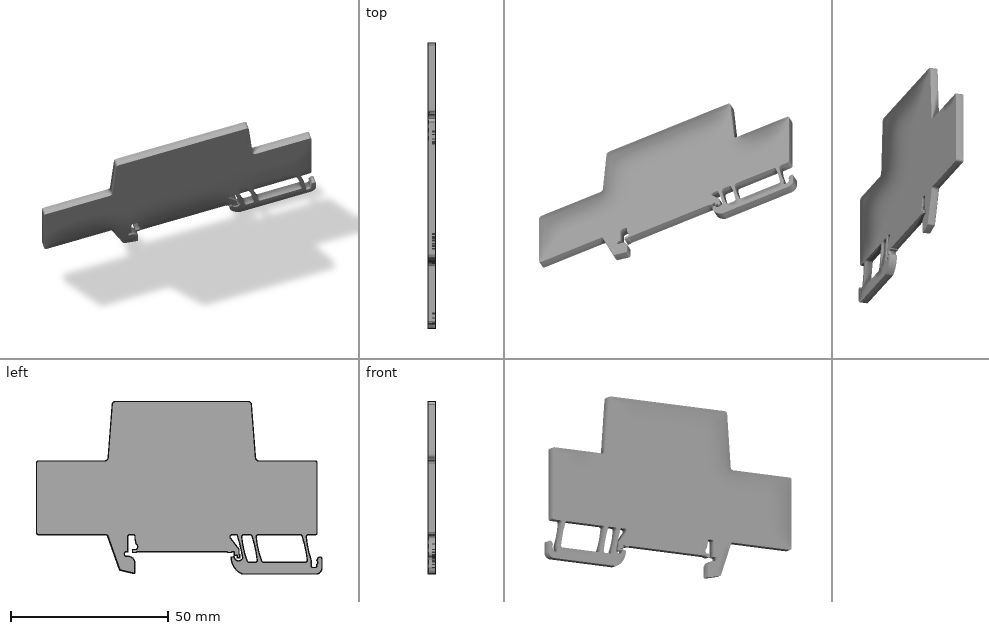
import cadquery as cq

THICKNESS = 2.5
LENGTH = 90.68
HEIGHT = 54.85

PLATE_LENGTH = 89.15
PLATE_BOTTOM = 12.5
PLATE_TOP = 36.0
HOOD_BASE_START = 22.65
HOOD_BASE_END = 69.65
HOOD_INSET = 1.45
PLATE_RADIUS = 0.7
HOOD_RADIUS = 1.0

SEAT_Z = 7.1
PAD_Z = SEAT_Z - 0.27
PAD_LENGTH = 1.2
PAD_RAMP = 0.25
LATCH_ROOT = 22.4
SLOT_START = 29.05
SLOT_END = 31.28
SLOT_RADIUS = 0.5
LATCH_ROOT_RADIUS = 0.6
LATCH_TOE_RADIUS = 0.4
LATCH_BEVEL = 0.18

TOOTH_START = 62.75
TOOTH_STEP = 63.75
TOOTH_BACK = 64.35
TOOTH_TIP_END = TOOTH_BACK + 0.25
TOOTH_LEDGE_Z = 5.95
TOOTH_TIP_Z = 5.2
TOOTH_BARB_Z = 6.3

FOOT_START = 61.77
HOOK_TOP = 5.5
FOOT_FLOOR = 3.8
FOOT_RADIUS = 2.0
STRIP_STARTS = (63.7, 68.3, 84.2)
STRIP_TOP_WIDTH = 1.45
STRIP_FRONT_MID = (1.2, 8.0)
STRIP_FRONT_DRIFT = 1.85
STRIP_BACK_MID = (1.97, 8.6)
STRIP_BACK_DRIFT = 3.37
WINDOW_RADIUS = 0.6

END_SLOT_START = 87.27
END_SLOT_TOP = 4.4
END_SLOT_FLOOR = 2.2
LIP_START = 88.95
LIP_RECESS = 0.3
LIP_RECESS_BOTTOM = 3.0
SLOT_FLOOR_RADIUS = 0.3

PROFILE_PLANE = cq.Plane(origin=(0, LENGTH / 2, 0), xDir=(0, -1, 0), normal=(-1, 0, 0))


def start_profile(along, z):
    """Begin an outline in the (along, z) plane at mid thickness."""
    return cq.Workplane(PROFILE_PLANE).moveTo(along, z)


def extrude_profile(profile):
    """Close an outline and extrude it over the full thickness."""
    return profile.close().extrude(THICKNESS / 2, both=True)


def edges_at(solid, x, along, z):
    """Edges whose centre lies at the given position."""
    reach = 0.15
    y = LENGTH / 2 - along
    low_corner = (x - reach, y - reach, z - reach)
    high_corner = (x + reach, y + reach, z + reach)
    return solid.edges(cq.selectors.BoxSelector(low_corner, high_corner))


def round_corners(solid, corners, radius):
    """Fillet the thickness-direction edges at the given (along, z) corners."""
    for along, z in corners:
        solid = edges_at(solid, 0, along, z).fillet(radius)
    return solid


def make_plate():
    """Rectangular plate with a tapered hood on top."""
    hood_top_start = HOOD_BASE_START + HOOD_INSET
    hood_top_end = HOOD_BASE_END - HOOD_INSET
    hood_corners = [
        (HOOD_BASE_START, PLATE_TOP),
        (hood_top_start, HEIGHT),
        (hood_top_end, HEIGHT),
        (HOOD_BASE_END, PLATE_TOP),
    ]
    end_corners = [
        (PLATE_LENGTH, PLATE_TOP),
        (PLATE_LENGTH, PLATE_BOTTOM),
        (0, PLATE_BOTTOM),
        (0, PLATE_TOP),
    ]
    plate = extrude_profile(cq.Workplane(PROFILE_PLANE).polyline(hood_corners + end_corners))
    plate = round_corners(plate, hood_corners, HOOD_RADIUS)
    return round_corners(plate, end_corners, PLATE_RADIUS)


def make_latch():
    """Slanted latch leg that hooks under one rail edge."""
    toe = (26.4, 1.25)
    heel = (SLOT_END, 0.1)
    catch_front = (SLOT_END, 4.0)
    catch_crown = (30.3, 5.3)
    catch_back = (28.2, 5.7)
    relief_middle = (27.95, 6.4)
    relief_top = (28.15, SEAT_Z)
    latch = extrude_profile(
        start_profile(LATCH_ROOT, PLATE_BOTTOM)
        .lineTo(*toe)
        .lineTo(*heel)
        .lineTo(*catch_front)
        .threePointArc(catch_crown, catch_back)
        .threePointArc(relief_middle, relief_top)
        .lineTo(SLOT_START, SEAT_Z)
        .lineTo(SLOT_START, PLATE_BOTTOM)
    )
    outer_edge_middle = ((LATCH_ROOT + toe[0]) / 2, (PLATE_BOTTOM + toe[1]) / 2)
    latch = round_corners(latch, [toe], LATCH_TOE_RADIUS)
    latch = edges_at(latch, -THICKNESS / 2, *outer_edge_middle).chamfer(LATCH_BEVEL)
    return round_corners(latch, [heel], LATCH_TOE_RADIUS)


def make_rail_seat():
    """Block resting on the rail, with a nib on the latch side and a tooth on the foot side."""
    nib_tip = 30.45
    nib_top = 7.87
    nib_pad_end = nib_tip + PAD_LENGTH
    pad_end = 61.95
    pad_start = pad_end - PAD_LENGTH
    slot_taper_start = (SLOT_END, 11.1)
    nib_groove_top = (31.6, 9.6)
    nib_groove_middle = (32.1, 8.6)
    nib_groove_bottom = (31.7, nib_top)
    ramp_bottom = (TOOTH_BACK, 7.9)
    ramp_top = (61.55, 11.55)
    gap_corner_middle = (61.6, 12.2)
    gap_corner_end = (62.0, PLATE_BOTTOM)
    return extrude_profile(
        start_profile(SLOT_END, PLATE_BOTTOM)
        .lineTo(*slot_taper_start)
        .lineTo(*nib_groove_top)
        .threePointArc(nib_groove_middle, nib_groove_bottom)
        .lineTo(nib_tip, nib_top)
        .lineTo(nib_tip, PAD_Z)
        .lineTo(nib_pad_end, PAD_Z)
        .lineTo(nib_pad_end + PAD_RAMP, SEAT_Z)
        .lineTo(pad_start - PAD_RAMP, SEAT_Z)
        .lineTo(pad_start, PAD_Z)
        .lineTo(pad_end, PAD_Z)
        .lineTo(pad_end, SEAT_Z)
        .lineTo(TOOTH_START, SEAT_Z)
        .lineTo(TOOTH_START, TOOTH_LEDGE_Z)
        .lineTo(TOOTH_STEP, TOOTH_LEDGE_Z)
        .lineTo(TOOTH_STEP, TOOTH_TIP_Z)
        .lineTo(TOOTH_TIP_END, TOOTH_TIP_Z)
        .lineTo(TOOTH_TIP_END, TOOTH_BARB_Z)
        .lineTo(TOOTH_BACK, TOOTH_BARB_Z)
        .lineTo(*ramp_bottom)
        .lineTo(*ramp_top)
        .threePointArc(gap_corner_middle, gap_corner_end)
    )


def make_foot_blank():
    """Foot and strips as one block, bounded by the first strip and the hook cavity."""
    strip = STRIP_STARTS[0]
    mid_shift, mid_z = STRIP_FRONT_MID
    hook_shoulder = (62.55, HOOK_TOP)
    hook_tip = (62.8, 5.8)
    cavity_floor = (64.1, 4.25)
    cavity_end = (strip + 1.75, 5.2)
    heel_middle = (62.75, 2.2)
    heel_end = (65.4, 0)
    foot = extrude_profile(
        start_profile(FOOT_START, HOOK_TOP)
        .lineTo(*hook_shoulder)
        .lineTo(*hook_tip)
        .threePointArc(cavity_floor, cavity_end)
        .threePointArc((strip + mid_shift, mid_z), (strip, PLATE_BOTTOM))
        .lineTo(LENGTH, PLATE_BOTTOM)
        .lineTo(LENGTH, 0)
        .lineTo(*heel_end)
        .threePointArc(heel_middle, (FOOT_START, HOOK_TOP))
    )
    return round_corners(foot, [(LENGTH, 0)], FOOT_RADIUS)


def make_window(strip_before, strip_after):
    """Opening between two neighbouring strips."""
    back_shift, back_z = STRIP_BACK_MID
    front_shift, front_z = STRIP_FRONT_MID
    window = extrude_profile(
        start_profile(strip_before + STRIP_TOP_WIDTH, PLATE_BOTTOM)
        .threePointArc((strip_before + back_shift, back_z), (strip_before + STRIP_BACK_DRIFT, FOOT_FLOOR))
        .lineTo(strip_after + STRIP_FRONT_DRIFT, FOOT_FLOOR)
        .threePointArc((strip_after + front_shift, front_z), (strip_after, PLATE_BOTTOM))
    )
    return window.edges("|X").fillet(WINDOW_RADIUS)


def make_end_notch():
    """Space behind the last strip, above the end slot and the lip."""
    strip = STRIP_STARTS[-1]
    back_shift, back_z = STRIP_BACK_MID
    recess_mid_z = (LIP_RECESS_BOTTOM + END_SLOT_TOP) / 2
    lip_wall = LIP_START + LIP_RECESS
    lip_radius = (LENGTH - lip_wall) / 2
    lip_shoulder = HOOK_TOP - lip_radius
    notch_top = (strip + STRIP_TOP_WIDTH, PLATE_BOTTOM)
    floor_corners = [(END_SLOT_START, END_SLOT_FLOOR), (LIP_START, END_SLOT_FLOOR)]
    notch = extrude_profile(
        start_profile(*notch_top)
        .threePointArc((strip + back_shift, back_z), (END_SLOT_START, END_SLOT_TOP))
        .lineTo(*floor_corners[0])
        .lineTo(*floor_corners[1])
        .lineTo(LIP_START, LIP_RECESS_BOTTOM)
        .threePointArc((lip_wall, recess_mid_z), (LIP_START, END_SLOT_TOP))
        .lineTo(lip_wall, lip_shoulder)
        .threePointArc((LENGTH - lip_radius, HOOK_TOP), (LENGTH, lip_shoulder))
        .lineTo(LENGTH, PLATE_BOTTOM)
    )
    notch = round_corners(notch, [notch_top], WINDOW_RADIUS)
    return round_corners(notch, floor_corners, SLOT_FLOOR_RADIUS)


foot = make_foot_blank().cut(make_end_notch())
for strip_before, strip_after in zip(STRIP_STARTS, STRIP_STARTS[1:]):
    foot = foot.cut(make_window(strip_before, strip_after))

result = make_plate().union(make_latch()).union(make_rail_seat()).union(foot)
result = round_corners(result, [(LATCH_ROOT, PLATE_BOTTOM)], LATCH_ROOT_RADIUS)
result = round_corners(result, [(SLOT_START, PLATE_BOTTOM), (SLOT_END, PLATE_BOTTOM)], SLOT_RADIUS)